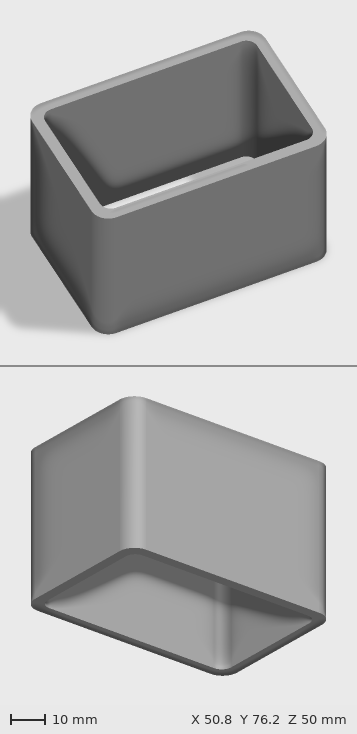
import cadquery as cq

width = 50.8
length = 76.2
height = 50.0

wall = 3.5
outer_radius = 5.5
inner_radius = 3.5


def rounded_block(size_x, size_y, corner_radius):
    """Full-height block with its vertical edges rounded."""
    block = cq.Workplane("XY").rect(size_x, size_y).extrude(height)
    return block.edges("|Z").fillet(corner_radius)


body = rounded_block(width, length, outer_radius)
opening = rounded_block(width - 2 * wall, length - 2 * wall, inner_radius)

result = body.cut(opening)